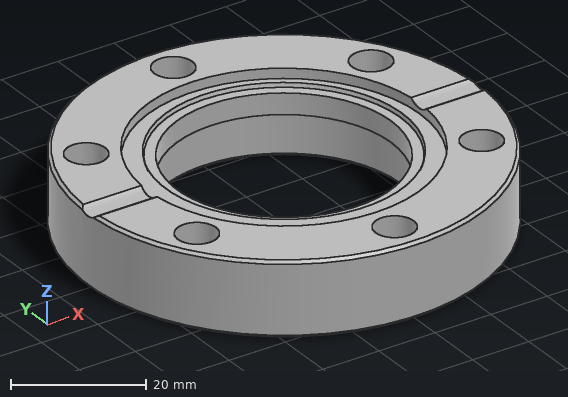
import cadquery as cq

flange_radius = 70 / 2
thickness = 13
edge_chamfer = 0.5

bore_radius = 38 / 2
socket_radius = 41.5 / 2
socket_top_height = 8

recess_radius = 48.3 / 2
knife_tip_radius = 41.9 / 2
knife_root_radius = 41.5 / 2
knife_tip_depth = 0.65
recess_wall_depth = 1.75
inner_floor_depth = 1.35

bolt_count = 6
bolt_hole_diameter = 6.7
bolt_circle_radius = 58.7 / 2
first_bolt_angle = 90

groove_width = 4.1
groove_depth = 0.85
groove_radius = ((groove_width / 2) ** 2 + groove_depth**2) / (2 * groove_depth)


def make_flange_ring():
    """Revolve the flange section: rim, gasket recess, knife edge, bore and socket."""
    section = [
        (socket_radius, edge_chamfer),
        (socket_radius + edge_chamfer, 0),
        (flange_radius - edge_chamfer, 0),
        (flange_radius, edge_chamfer),
        (flange_radius, thickness - edge_chamfer),
        (flange_radius - edge_chamfer, thickness),
        (recess_radius, thickness),
        (recess_radius, thickness - recess_wall_depth),
        (knife_tip_radius, thickness - knife_tip_depth),
        (knife_root_radius, thickness - inner_floor_depth),
        (bore_radius, thickness - inner_floor_depth),
        (bore_radius, socket_top_height),
        (socket_radius, socket_top_height),
    ]
    return cq.Workplane("XZ").polyline(section).close().revolve(360, (0, 0), (0, 1))


def make_bolt_holes():
    """Through holes evenly spaced on the bolt circle."""
    return (
        cq.Workplane("XY")
        .polarArray(bolt_circle_radius, first_bolt_angle, 360, bolt_count)
        .circle(bolt_hole_diameter / 2)
        .extrude(thickness)
    )


def make_groove(side):
    """Groove from the gasket recess out through the rim; side is +1 for +X, -1 for -X."""
    axis_height = thickness - groove_depth + groove_radius
    bar = (
        cq.Workplane("YZ", origin=(0, 0, axis_height))
        .circle(groove_radius)
        .extrude(side * flange_radius)
    )
    core = cq.Workplane("XY").circle(recess_radius).extrude(axis_height + groove_radius)
    return bar.cut(core)


result = make_flange_ring().cut(make_bolt_holes())
for side in (1, -1):
    result = result.cut(make_groove(side))